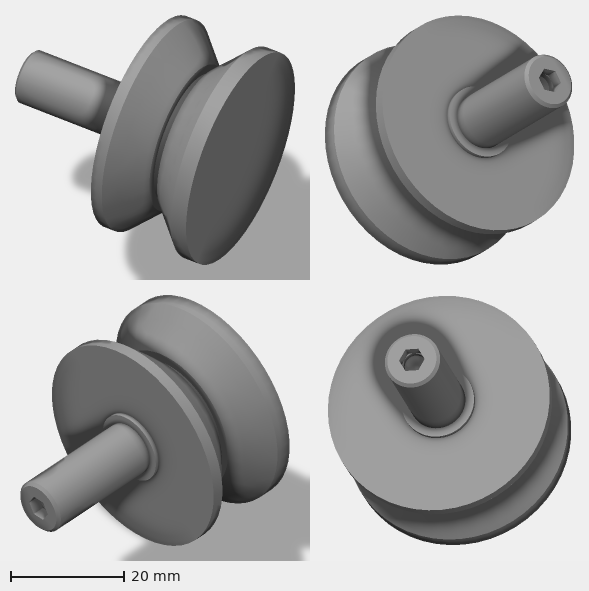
import cadquery as cq
import math

total_length = 43.0
wheel_radius = 20.0

shaft_radius = 5.0
shaft_chamfer = 0.55
collar_radius = 6.55
collar_width = 0.85

wheel_width = 19.18
near_rim_width = 2.2
far_rim_width = 3.05
relief_width = 1.55
relief_radius = 12.13

hex_across_flats = 4.0
hex_depth = 2.32
pilot_depth = 3.5
drill_point_angle = 120.0

wheel_start = total_length - wheel_width
collar_start = wheel_start - collar_width
groove_start = wheel_start + near_rim_width
groove_end = total_length - far_rim_width
flank_width = (groove_end - groove_start - relief_width) / 2
flank_inner_radius = wheel_radius - flank_width
relief_start = groove_start + flank_width
relief_end = relief_start + relief_width


def revolve_about_x(points):
    """Revolve a closed outline of (x, radius) points about the X axis."""
    return cq.Workplane("XY").polyline(points).close().revolve(360, (0, 0, 0), (1, 0, 0))


def make_body():
    """Shaft, collar and grooved wheel in one revolved solid."""
    return revolve_about_x([
        (0, 0),
        (0, shaft_radius - shaft_chamfer),
        (shaft_chamfer, shaft_radius),
        (collar_start, shaft_radius),
        (collar_start, collar_radius),
        (wheel_start, collar_radius),
        (wheel_start, wheel_radius),
        (groove_start, wheel_radius),
        (relief_start, flank_inner_radius),
        (relief_start, relief_radius),
        (relief_end, relief_radius),
        (relief_end, flank_inner_radius),
        (groove_end, wheel_radius),
        (total_length, wheel_radius),
        (total_length, 0),
    ])


def make_socket():
    """Hexagonal recess with two corners along Y and the pilot hole behind it."""
    across_corners = hex_across_flats / math.cos(math.radians(30))
    hexagon = cq.Workplane("YZ").polygon(6, across_corners).extrude(hex_depth)
    pilot_radius = hex_across_flats / 2
    cone_depth = pilot_radius / math.tan(math.radians(drill_point_angle / 2))
    pilot_hole = revolve_about_x([
        (0, 0),
        (0, pilot_radius),
        (pilot_depth, pilot_radius),
        (pilot_depth + cone_depth, 0),
    ])
    return hexagon.union(pilot_hole)


result = make_body().cut(make_socket())